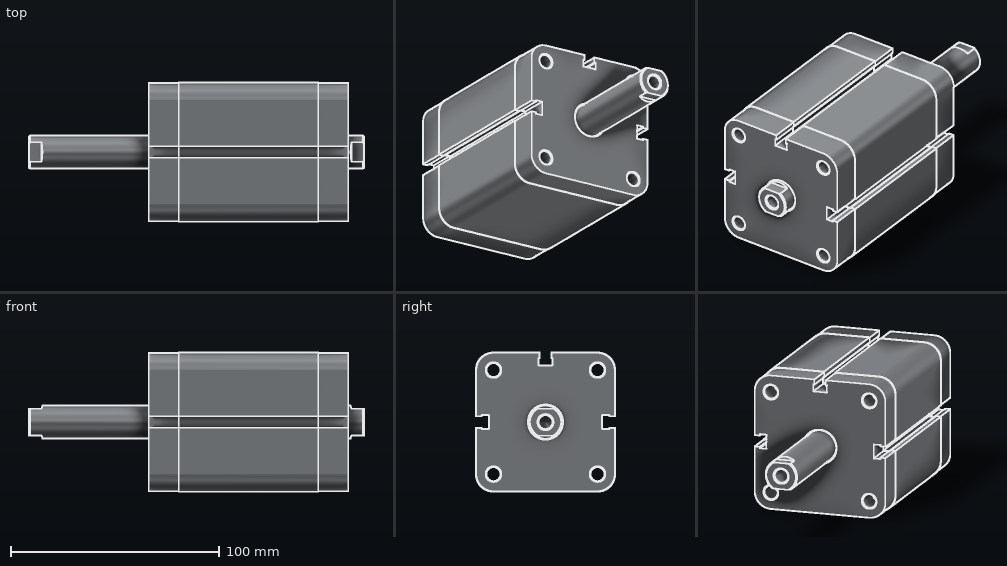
import cadquery as cq
import math


tube_length = 67.0
cap_length = 14.5
housing_length = tube_length + 2 * cap_length
tube_side = 67.0
cap_side = 66.5
screw_spacing = 50.0
screw_hole_diameter = 6.7
screw_mouth_diameter = 7.6
bore_mouth_chamfer = 0.5
screw_mouth_chamfer = (screw_mouth_diameter - screw_hole_diameter) / 2

slot_mouth_width = 5.6
slot_mouth_depth = 2.85
slot_floor_depth = 6.3
tube_slot_width = 6.4
cap_slot_width = 7.0
slot_turns = (-90, 0, 90)

rod_diameter = 16.0
rod_front_reach = 57.5
rod_back_reach = 7.5
rod_length = rod_front_reach + housing_length + rod_back_reach
rod_chamfer = 0.5
flat_spacing = 13.0
flat_length = 6.0
flat_ramp_length = 0.5
thread_hole_diameter = 6.7
thread_mouth_diameter = 7.8
thread_hole_depth = 20.0
drill_tip_angle = 118.0

rod_radius = rod_diameter / 2
rod_start = -rod_front_reach
rod_middle = rod_start + rod_length / 2


def t_slot(x_start, length, inner_width):
    """T-slot cutter in the top face, open upwards."""
    face = tube_side / 2
    slot = cq.Workplane("XY")
    for width, top, bottom in (
        (slot_mouth_width, face, face - slot_mouth_depth),
        (inner_width, face - slot_mouth_depth, face - slot_floor_depth),
    ):
        slot = slot.union(
            cq.Workplane("XY")
            .box(length, width, top - bottom, centered=(False, True, False))
            .translate((x_start, 0, bottom))
        )
    return slot


def housing_section(x_start, length, side, slot_width):
    """Rounded square block with screw holes, three T-slots and the rod bore."""
    corner_radius = (side - screw_spacing) / 2
    block = (
        cq.Workplane("YZ", origin=(x_start, 0, 0))
        .rect(side, side)
        .extrude(length)
        .edges("|X")
        .fillet(corner_radius)
    )
    holes = (
        cq.Workplane("YZ", origin=(x_start, 0, 0))
        .rect(screw_spacing, screw_spacing, forConstruction=True)
        .vertices()
        .circle(screw_hole_diameter / 2)
        .extrude(length)
    )
    bore = cq.Workplane("YZ", origin=(x_start, 0, 0)).circle(rod_radius).extrude(length)
    block = block.cut(holes).cut(bore)
    slot = t_slot(x_start, length, slot_width)
    for turn in slot_turns:
        block = block.cut(slot.rotate((0, 0, 0), (1, 0, 0), turn))
    return block


def end_cap(x_start, outer_face):
    """Cap whose screw holes and rod bore are chamfered on the outer face."""
    cap = housing_section(x_start, cap_length, cap_side, cap_slot_width)
    for size_rank, chamfer in ((1, bore_mouth_chamfer), (0, screw_mouth_chamfer)):
        mouths = cq.selectors.RadiusNthSelector(size_rank)
        cap = cap.faces(outer_face).edges("%CIRCLE").edges(mouths).chamfer(chamfer)
    return cap


def flat_cutter():
    """Removes the rod's top at its front end, down to the flat and its ramp."""
    flat_end = rod_start + flat_length
    return (
        cq.Workplane("XZ")
        .moveTo(rod_start, flat_spacing / 2)
        .lineTo(flat_end, flat_spacing / 2)
        .lineTo(flat_end + flat_ramp_length, rod_radius)
        .lineTo(rod_start, rod_radius)
        .close()
        .extrude(rod_radius, both=True)
    )


def thread_hole():
    """Blind hole in the rod's front end with a countersunk mouth and a drill tip."""
    hole_radius = thread_hole_diameter / 2
    mouth_radius = thread_mouth_diameter / 2
    hole_end = rod_start + thread_hole_depth
    tip_length = hole_radius / math.tan(math.radians(drill_tip_angle / 2))
    return (
        cq.Workplane("XY")
        .moveTo(rod_start, 0)
        .lineTo(rod_start, mouth_radius)
        .lineTo(rod_start + mouth_radius - hole_radius, hole_radius)
        .lineTo(hole_end, hole_radius)
        .lineTo(hole_end + tip_length, 0)
        .close()
        .revolve(360, (0, 0, 0), (1, 0, 0))
    )


def piston_rod():
    """Through rod with the same chamfer, flats and threaded hole at both ends."""
    rod = (
        cq.Workplane("YZ", origin=(rod_start, 0, 0))
        .circle(rod_radius)
        .extrude(rod_length)
        .faces("|X")
        .chamfer(rod_chamfer)
    )
    top_flat = flat_cutter()
    bottom_flat = top_flat.mirror("XY")
    for cutter in (top_flat, bottom_flat, thread_hole()):
        rod = rod.cut(cutter).cut(cutter.mirror("YZ", (rod_middle, 0, 0)))
    return rod


front_cap = end_cap(0, "<X")
tube = housing_section(cap_length, tube_length, tube_side, tube_slot_width)
back_cap = end_cap(cap_length + tube_length, ">X")
rod = piston_rod()

result = cq.Compound.makeCompound([front_cap.val(), tube.val(), back_cap.val(), rod.val()])